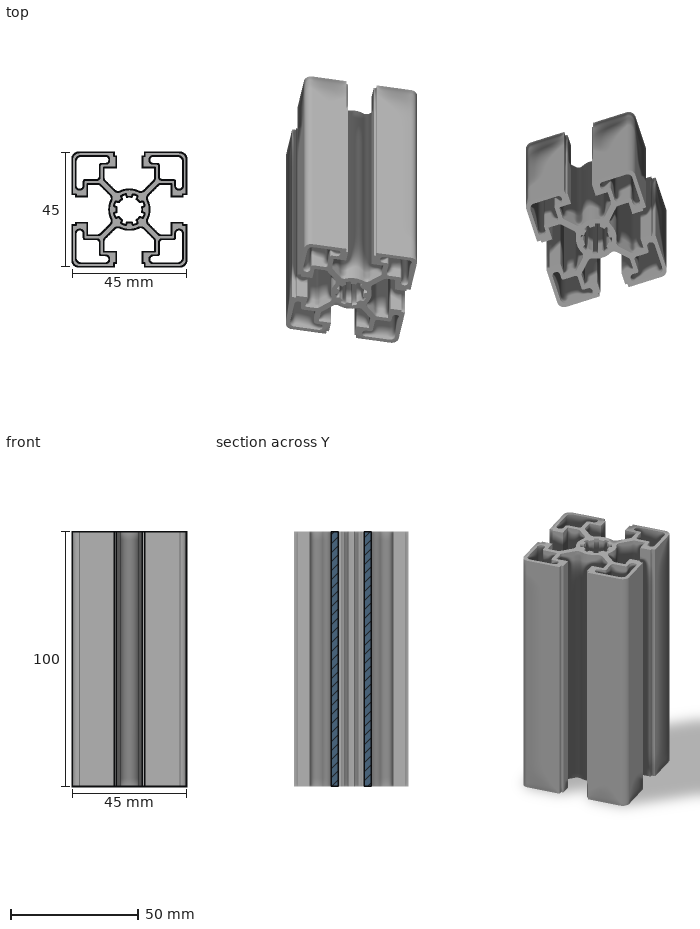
import cadquery as cq
import math

length = 100.0
side = 45.0
half_side = side / 2
corner_radius = 2.8
wall = 1.5

slot_mouth_half = 6.0
slot_neck_half = 5.1
mouth_depth = 1.5
lip_depth = 6.0
slot_inner_half = 10.0
slot_wall = 1.7
slot_corner_radius = 1.5

pocket_end = 7.9
pocket_corner_radius = 2.0
pocket_end_radius = 1.4
pocket_step_radius = 0.8
pocket_inner_radius = 1.0

tube_radius = 8.0
web_thickness = 2.4
web_root_radius = 2.0

bore_radius = 5.0
groove_radius = 6.2
groove_width = 2.0
groove_count = 8

quarter_turns = [0, 90, 180, 270]


def diagonal_symmetric_prism(half_outline):
    """Extrude an outline made of the given points and their reflections across X = Y."""
    reflected = [(y, x) for x, y in reversed(half_outline) if x != y]
    return cq.Workplane("XY").polyline(half_outline + reflected).close().extrude(length)


def round_vertical_edges(body, points, radius, reach=0.1):
    """Fillet the vertical edges of a body that stand on the given XY points."""
    edges = body.newObject([])
    for x, y in points:
        box = cq.selectors.BoxSelector((x - reach, y - reach, 0), (x + reach, y + reach, length))
        edges = edges.add(body.edges("|Z").edges(box))
    return edges.fillet(radius)


def corner_block():
    """Solid corner in the +X +Y quadrant, with the slot lips along its inner sides."""
    mouth_floor = half_side - mouth_depth
    lip_floor = half_side - lip_depth
    half_outline = [
        (slot_mouth_half, half_side),
        (slot_mouth_half, mouth_floor),
        (slot_neck_half, mouth_floor),
        (slot_neck_half, lip_floor),
        (slot_inner_half, lip_floor),
        (slot_inner_half, slot_inner_half),
    ]
    outer_corner = (half_side, half_side)
    block = diagonal_symmetric_prism([outer_corner] + half_outline)
    return round_vertical_edges(block, [outer_corner], corner_radius)


def corner_pocket():
    """Hollow of the +X +Y corner, with round ends reaching into the slot lips."""
    outer = half_side - wall
    step = half_side - lip_depth + wall
    inner = slot_inner_half + slot_wall
    pocket = diagonal_symmetric_prism(
        [(outer, outer), (pocket_end, outer), (pocket_end, step), (inner, step), (inner, inner)]
    )
    end_corners = [(pocket_end, outer), (pocket_end, step), (outer, pocket_end), (step, pocket_end)]
    step_corners = [(inner, step), (step, inner)]
    pocket = round_vertical_edges(pocket, [(outer, outer)], pocket_corner_radius)
    pocket = round_vertical_edges(pocket, end_corners, pocket_end_radius)
    pocket = round_vertical_edges(pocket, [(inner, inner)], pocket_inner_radius)
    return round_vertical_edges(pocket, step_corners, pocket_step_radius)


def tube_with_webs():
    """Central tube, still solid, with diagonal webs blended into it."""
    web_end = math.sqrt(2) * (slot_inner_half + slot_wall / 2)
    hub = cq.Workplane("XY").circle(tube_radius).extrude(length)
    for angle in (45, 135):
        webs = cq.Workplane("XY").rect(2 * web_end, web_thickness).extrude(length)
        hub = hub.union(webs.rotate((0, 0, 0), (0, 0, 1), angle))
    half_spread = math.asin(web_thickness / 2 / tube_radius)
    roots = []
    for turn in quarter_turns:
        for spread in (-half_spread, half_spread):
            angle = math.radians(turn + 45) + spread
            roots.append((tube_radius * math.cos(angle), tube_radius * math.sin(angle)))
    return round_vertical_edges(hub, roots, web_root_radius)


def splined_bore():
    """Round bore with equal grooves centred between the axes and the diagonals."""
    bore = cq.Workplane("XY").circle(bore_radius).extrude(length)
    groove_limit = cq.Workplane("XY").circle(groove_radius).extrude(length)
    pitch = 360 / groove_count
    for index in range(groove_count // 2):
        groove_pair = cq.Workplane("XY").rect(2 * tube_radius, groove_width).extrude(length)
        groove_pair = groove_pair.rotate((0, 0, 0), (0, 0, 1), (index + 0.5) * pitch)
        bore = bore.union(groove_pair.intersect(groove_limit))
    return bore


def blend_slot_corners(body):
    """Fillet the corners where the diagonal webs run into the slot walls."""
    web_offset = slot_inner_half + math.sqrt(2) * web_thickness / 2
    corners = []
    for x_sign in (-1, 1):
        for y_sign in (-1, 1):
            corners.append((x_sign * slot_inner_half, y_sign * web_offset))
            corners.append((x_sign * web_offset, y_sign * slot_inner_half))
    return round_vertical_edges(body, corners, slot_corner_radius)


profile = tube_with_webs()
for turn in quarter_turns:
    profile = profile.union(corner_block().rotate((0, 0, 0), (0, 0, 1), turn))
profile = blend_slot_corners(profile)
for turn in quarter_turns:
    profile = profile.cut(corner_pocket().rotate((0, 0, 0), (0, 0, 1), turn))
result = profile.cut(splined_bore())